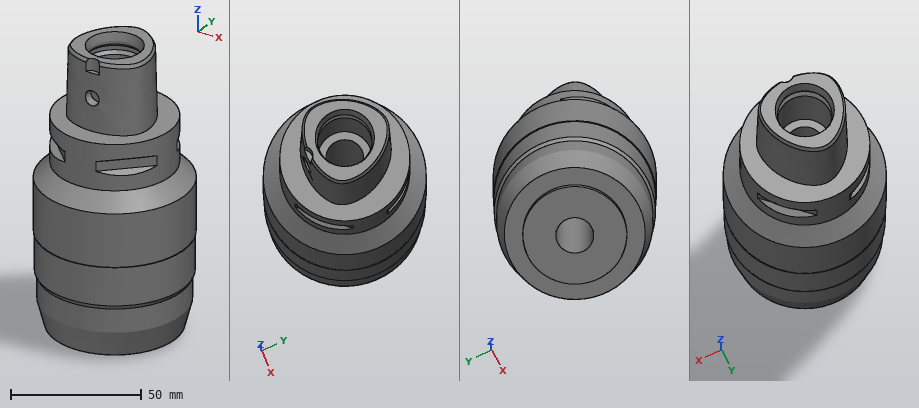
import cadquery as cq
import math

TOTAL_HEIGHT = 122.0

NOSE_TOP = 2.0
LOWER_CONE_TOP = 13.0
NECK_TOP = 23.4
COLLAR_BOTTOM = 25.3
COLLAR_TOP = 42.0
MAIN_TOP = 65.3
FLANGE_BOTTOM = 72.0
FLANGE_TOP = 92.0

NOSE_DIAMETER = 40.0
LOWER_CONE_DIAMETER = 54.2
NECK_DIAMETER = 60.0
COLLAR_DIAMETER = 62.0
MAIN_DIAMETER = 62.7
FLANGE_DIAMETER = 50.0

SHANK_WIDTH = 35.0
LOBE_HEIGHT = 1.12
TAPER_RATIO = 1 / 20
SHANK_CHAMFER_HEIGHT = 1.5
SHANK_CHAMFER_WIDTH = 0.9
CURVE_POINTS = 36

THROUGH_DIAMETER = 14.5
BORE_DIAMETER = 21.0
BORE_MOUTH_DIAMETER = 22.7
BORE_MOUTH_DEPTH = 3.7
BORE_DEPTH = TOTAL_HEIGHT - FLANGE_TOP
GROOVE_START = 4.9
GROOVE_DEPTH = 1.3
GROOVE_FLOOR_HEIGHT = 1.8

SLOT_COUNT = 4
SLOT_HEIGHT = FLANGE_TOP - 10.0
SLOT_FLOOR_DISTANCE = 22.0
SLOT_FLOOR_WIDTH = 4.1
SLOT_MOUTH_WIDTH = 7.1

NOTCH_DIAMETER = 7.0
NOTCH_DEPTH = 5.2
NOTCH_AXIS_DISTANCE = 17.2
HOLE_DIAMETER = 6.3
HOLE_DEPTH_FROM_TOP = 16.0
HOLE_FLOOR_DISTANCE = 12.0


def revolve_profile(points):
    """Turn an outline of (radius, height) points about the Z axis."""
    return cq.Workplane("XZ").polyline(points).close().revolve(360, (0, 0, 0), (0, 1, 0))


def make_body():
    return revolve_profile([
        (0, 0),
        (NOSE_DIAMETER / 2, 0),
        (NOSE_DIAMETER / 2, NOSE_TOP),
        (LOWER_CONE_DIAMETER / 2, NOSE_TOP),
        (NECK_DIAMETER / 2, LOWER_CONE_TOP),
        (NECK_DIAMETER / 2, NECK_TOP),
        (COLLAR_DIAMETER / 2, COLLAR_BOTTOM),
        (COLLAR_DIAMETER / 2, COLLAR_TOP),
        (MAIN_DIAMETER / 2, COLLAR_TOP),
        (MAIN_DIAMETER / 2, MAIN_TOP),
        (FLANGE_DIAMETER / 2, FLANGE_BOTTOM),
        (FLANGE_DIAMETER / 2, FLANGE_TOP),
        (0, FLANGE_TOP),
    ])


def lobed_wire(width, height):
    """Closed curve whose tangent lines lie width / 2 - LOBE_HEIGHT * cos(3a) from the axis."""

    def point(index):
        angle = 2 * math.pi * index / CURVE_POINTS
        reach = width / 2 - LOBE_HEIGHT * math.cos(3 * angle)
        slide = 3 * LOBE_HEIGHT * math.sin(3 * angle)
        outward = reach * math.cos(angle) - slide * math.sin(angle)
        sideways = reach * math.sin(angle) + slide * math.cos(angle)
        return cq.Vector(sideways, -outward, height)

    points = [point(index) for index in range(CURVE_POINTS)]
    return cq.Wire.assembleEdges([cq.Edge.makeSpline(points, periodic=True)])


def make_shank():
    chamfer_bottom = TOTAL_HEIGHT - SHANK_CHAMFER_HEIGHT
    upper_width = SHANK_WIDTH - TAPER_RATIO * (chamfer_bottom - FLANGE_TOP)
    top_width = upper_width - 2 * SHANK_CHAMFER_WIDTH
    base = lobed_wire(SHANK_WIDTH, FLANGE_TOP)
    shoulder = lobed_wire(upper_width, chamfer_bottom)
    top = lobed_wire(top_width, TOTAL_HEIGHT)
    taper = cq.Solid.makeLoft([base, shoulder], True)
    chamfer = cq.Solid.makeLoft([shoulder, top], True)
    return cq.Workplane("XY").add(taper).union(cq.Workplane("XY").add(chamfer))


def make_bore():
    bore_radius = BORE_DIAMETER / 2
    groove_radius = bore_radius + GROOVE_DEPTH
    groove_top = TOTAL_HEIGHT - GROOVE_START
    groove_floor_top = groove_top - GROOVE_DEPTH
    groove_floor_bottom = groove_floor_top - GROOVE_FLOOR_HEIGHT
    groove_bottom = groove_floor_bottom - GROOVE_DEPTH
    bore_floor = TOTAL_HEIGHT - BORE_DEPTH
    return revolve_profile([
        (0, 0),
        (THROUGH_DIAMETER / 2, 0),
        (THROUGH_DIAMETER / 2, bore_floor),
        (bore_radius, bore_floor),
        (bore_radius, groove_bottom),
        (groove_radius, groove_floor_bottom),
        (groove_radius, groove_floor_top),
        (bore_radius, groove_top),
        (bore_radius, TOTAL_HEIGHT - BORE_MOUTH_DEPTH),
        (BORE_MOUTH_DIAMETER / 2, TOTAL_HEIGHT),
        (0, TOTAL_HEIGHT),
    ])


def make_gripper_slots():
    """Straight slots with sloping sides, set midway between the X and Y axes."""
    flange_radius = FLANGE_DIAMETER / 2
    slot = (
        cq.Workplane("XZ")
        .polyline([
            (SLOT_FLOOR_DISTANCE, SLOT_HEIGHT - SLOT_FLOOR_WIDTH / 2),
            (flange_radius, SLOT_HEIGHT - SLOT_MOUTH_WIDTH / 2),
            (flange_radius, SLOT_HEIGHT + SLOT_MOUTH_WIDTH / 2),
            (SLOT_FLOOR_DISTANCE, SLOT_HEIGHT + SLOT_FLOOR_WIDTH / 2),
        ])
        .close()
        .extrude(flange_radius, both=True)
    )
    spacing = 360 / SLOT_COUNT
    slots = cq.Workplane("XY")
    for index in range(SLOT_COUNT):
        slots = slots.add(slot.rotate((0, 0, 0), (0, 0, 1), spacing * (index + 0.5)))
    return slots.combine()


def make_notch():
    return (
        cq.Workplane("XY", origin=(0, -NOTCH_AXIS_DISTANCE, TOTAL_HEIGHT))
        .circle(NOTCH_DIAMETER / 2)
        .extrude(-NOTCH_DEPTH)
    )


def make_blind_hole():
    return (
        cq.Workplane("XZ", origin=(0, -HOLE_FLOOR_DISTANCE, TOTAL_HEIGHT - HOLE_DEPTH_FROM_TOP))
        .circle(HOLE_DIAMETER / 2)
        .extrude(SHANK_WIDTH / 2)
    )


result = (
    make_body()
    .union(make_shank())
    .cut(make_bore())
    .cut(make_gripper_slots())
    .cut(make_notch())
    .cut(make_blind_hole())
)